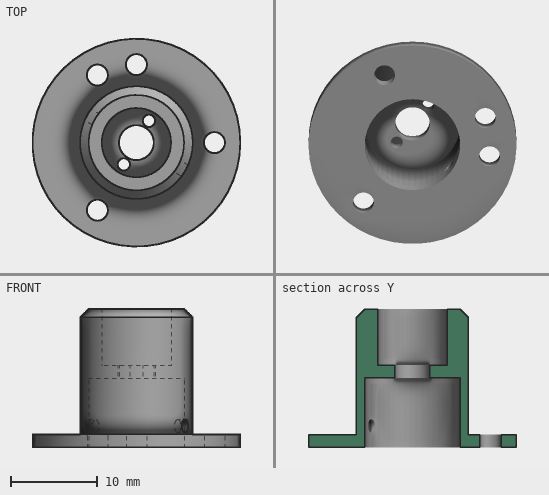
import cadquery as cq

flange_diameter = 24.0
flange_thickness = 1.5
flange_hole_diameter = 2.4
flange_hole_pitch_radius = 9.0
flange_hole_angles = (0, 90, 120, 240)

overall_height = 16.0
hub_diameter = 13.0
hub_chamfer = 1.0

lower_socket_diameter = 11.0
upper_socket_diameter = 8.0
web_thickness = flange_thickness
web_bottom = overall_height / 2
web_top = web_bottom + web_thickness

centre_hole_diameter = 4.0
web_hole_diameter = 1.4
web_hole_pitch_radius = 2.9
web_hole_angles = (60, 240)

cross_hole_diameter = 1.5
cross_hole_height = 2.5
cross_hole_angle = 150


def cylinder(diameter, bottom, top):
    """Upright cylinder on the Z axis between two heights."""
    return cq.Workplane("XY").workplane(offset=bottom).circle(diameter / 2).extrude(top - bottom)


def make_body():
    """Round flange with a chamfered hub standing on it."""
    flange = cylinder(flange_diameter, 0, flange_thickness)
    hub = cylinder(hub_diameter, 0, overall_height).faces(">Z").chamfer(hub_chamfer)
    return flange.union(hub)


def cut_stepped_bore(body):
    """Open the lower socket from below, the upper socket from above, and join them."""
    lower_socket = cylinder(lower_socket_diameter, 0, web_bottom)
    upper_socket = cylinder(upper_socket_diameter, web_top, overall_height)
    centre_hole = cylinder(centre_hole_diameter, web_bottom, web_top)
    return body.cut(lower_socket).cut(upper_socket).cut(centre_hole)


def cut_hole_circle(body, diameter, pitch_radius, angles, bottom, top):
    """Cut upright holes at the given angles on a pitch circle."""
    first_hole = cylinder(diameter, bottom, top).translate((pitch_radius, 0, 0))
    for angle in angles:
        body = body.cut(first_hole.rotate((0, 0, 0), (0, 0, 1), angle))
    return body


def cut_cross_hole(body):
    """Cut a horizontal hole across the hub, passing through its axis."""
    hole = (
        cq.Workplane("YZ")
        .center(0, cross_hole_height)
        .circle(cross_hole_diameter / 2)
        .extrude(hub_diameter / 2, both=True)
        .rotate((0, 0, 0), (0, 0, 1), cross_hole_angle)
    )
    return body.cut(hole)


part = make_body()
part = cut_stepped_bore(part)
part = cut_hole_circle(
    part, flange_hole_diameter, flange_hole_pitch_radius, flange_hole_angles, 0, flange_thickness
)
part = cut_hole_circle(
    part, web_hole_diameter, web_hole_pitch_radius, web_hole_angles, web_bottom, web_top
)
result = cut_cross_hole(part)